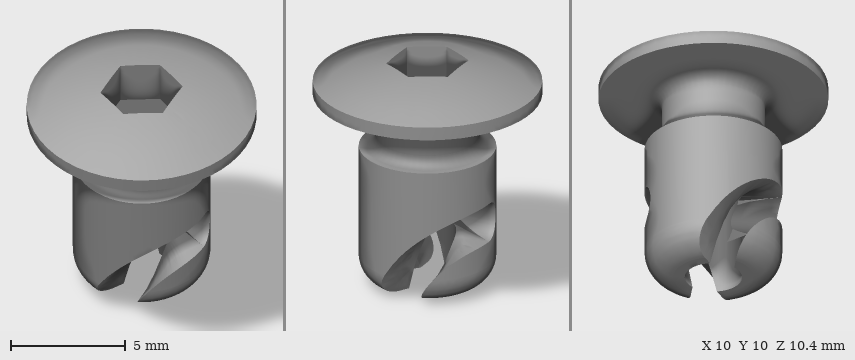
import cadquery as cq
import math


overall_height = 10.41
head_diameter = 10.0
rim_thickness = 0.6
dome_rise = 1.0

neck_diameter = 4.5
neck_fillet = 0.5
neck_length = 2.5
body_diameter = 6.0
tip_fillet = 1.25

socket_radius = 1.8
socket_half_angles = [-13.0, 53.0, 110.0]
socket_depth = 2.0

bore_diameter = 2.5
bore_depth = 4.5

slot_width = 1.8
slot_end_height = 3.3
slot_end_angle = 21.0
slot_turn = 96.0
slot_path_end = 1.15
upper_wall_lag_end = 24.0
upper_wall_lag_tip = 12.0
lower_wall_lag_end = 56.0
lower_wall_lag_tip = 25.0
slot_count = 2
slot_sections = 8
slot_overrun_inside = 0.1
slot_overrun_outside = 0.31

head_radius = head_diameter / 2
dome_radius = (head_radius**2 + dome_rise**2) / (2 * dome_rise)
widest_socket_step = max(b - a for a, b in zip(socket_half_angles, socket_half_angles[1:]))
socket_inradius = socket_radius * math.cos(math.radians(widest_socket_step / 2))
peak_loss = dome_radius - math.sqrt(dome_radius**2 - socket_inradius**2)
peak_height = overall_height + peak_loss
rim_top = peak_height - dome_rise
head_bottom = rim_top - rim_thickness
body_top = head_bottom - neck_length
body_radius = body_diameter / 2
neck_radius = neck_diameter / 2


def make_stud():
    """Revolve the half profile (radius, height) about Z."""
    dome_middle_radius = head_radius / 2
    dome_middle_drop = dome_radius - math.sqrt(dome_radius**2 - dome_middle_radius**2)
    fillet_radius_out = neck_radius + neck_fillet
    profile = (
        cq.Workplane("XZ")
        .moveTo(0, 0)
        .lineTo(body_radius - tip_fillet, 0)
        .radiusArc((body_radius, tip_fillet), -tip_fillet)
        .lineTo(body_radius, body_top)
        .lineTo(fillet_radius_out, body_top)
        .radiusArc((neck_radius, body_top + neck_fillet), neck_fillet)
        .lineTo(neck_radius, head_bottom - neck_fillet)
        .radiusArc((fillet_radius_out, head_bottom), neck_fillet)
        .lineTo(head_radius, head_bottom)
        .lineTo(head_radius, rim_top)
        .threePointArc((dome_middle_radius, peak_height - dome_middle_drop), (0, peak_height))
        .close()
    )
    return profile.revolve(360, (0, 0, 0), (0, 1, 0))


def make_socket():
    angles = socket_half_angles + [angle + 180 for angle in socket_half_angles]
    corners = [
        (socket_radius * math.cos(math.radians(a)), socket_radius * math.sin(math.radians(a)))
        for a in angles
    ]
    floor = overall_height - socket_depth
    return cq.Workplane("XY", origin=(0, 0, floor)).polyline(corners).close().extrude(2 * socket_depth)


def slot_section(progress):
    """Four corners of the slot section, reaching past the bore wall and the body surface.

    On the unrolled body the path is a cubic curve, level at the slot end and steepest at
    the tip. Progress is 0 at the slot end and 1 where the path crosses the tip face.
    """
    turn = math.radians(slot_turn)
    angle = math.radians(slot_end_angle) - turn * progress
    height = slot_end_height * (1 - progress**3)

    run = body_radius * turn
    fall = 3 * slot_end_height * progress**2
    half_turn = slot_width / 2 * fall / math.hypot(run, fall) / body_radius
    half_rise = slot_width / 2 * run / math.hypot(run, fall)

    lower_lag = lower_wall_lag_end + (lower_wall_lag_tip - lower_wall_lag_end) * progress
    upper_lag = upper_wall_lag_end + (upper_wall_lag_tip - upper_wall_lag_end) * progress
    lower_inner, lower_outer = slot_wall_line(angle + half_turn, height - half_rise, lower_lag)
    upper_inner, upper_outer = slot_wall_line(angle - half_turn, height + half_rise, upper_lag)
    return lower_inner, lower_outer, upper_outer, upper_inner


def slot_wall_line(body_angle, height, lag):
    """Ends of a level line on a slot wall, which twists by the lag angle from body surface to bore."""
    bore_angle = body_angle + math.radians(lag)
    bore_radius = bore_diameter / 2
    bore_point = cq.Vector(bore_radius * math.cos(bore_angle), bore_radius * math.sin(bore_angle), height)
    body_point = cq.Vector(body_radius * math.cos(body_angle), body_radius * math.sin(body_angle), height)
    outward = (body_point - bore_point).normalized()
    return bore_point - outward * slot_overrun_inside, body_point + outward * slot_overrun_outside


def make_slot():
    """Return the curved channel and the half-round end that closes it."""
    sections = [slot_section(slot_path_end * i / slot_sections) for i in range(slot_sections + 1)]
    rails = [cq.Edge.makeSpline(list(points)) for points in zip(*sections)]
    faces = [cq.Face.makeRuledSurface(rails[i - 1], rails[i]) for i in range(len(rails))]
    for lower_inner, lower_outer, upper_outer, upper_inner in (sections[0], sections[-1]):
        lower_line = cq.Edge.makeLine(lower_inner, lower_outer)
        upper_line = cq.Edge.makeLine(upper_inner, upper_outer)
        faces.append(cq.Face.makeRuledSurface(lower_line, upper_line))
    channel = cq.Workplane(obj=cq.Solid.makeSolid(cq.Shell.makeShell(faces)).fix())
    half_width = slot_width / 2
    round_end = (
        cq.Workplane("YZ", origin=(0, 0, slot_end_height))
        .moveTo(0, -half_width)
        .threePointArc((half_width, 0), (0, half_width))
        .close()
        .extrude(body_radius + slot_overrun_outside)
        .rotate((0, 0, 0), (0, 0, 1), slot_end_angle)
    )
    return channel, round_end


result = make_stud().cut(make_socket())
result = result.cut(cq.Workplane("XY").circle(bore_diameter / 2).extrude(bore_depth))

slot_parts = make_slot()
for i in range(slot_count):
    for slot_part in slot_parts:
        result = result.cut(slot_part.rotate((0, 0, 0), (0, 0, 1), i * 360 / slot_count))